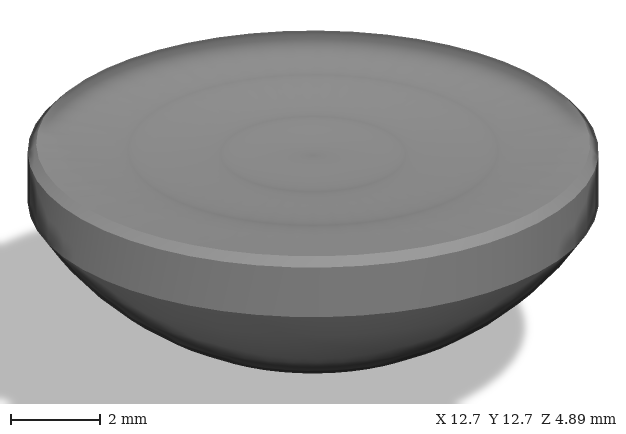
import cadquery as cq
import math

diameter = 12.7
total_height = 4.89
rim_height = 1.4
chamfer = 0.19
top_sag = 0.29

radius = diameter / 2
top_radius = radius - chamfer
dome_depth = total_height - rim_height


def sphere_radius(half_chord, sag):
    """Radius of the sphere whose cap has this half chord and depth."""
    return (half_chord**2 + sag**2) / (2 * sag)


def cap_depth_at(distance, half_chord, sag):
    """Depth of a spherical cap below its rim at a distance from the axis."""
    sphere = sphere_radius(half_chord, sag)
    return math.sqrt(sphere**2 - distance**2) - (sphere - sag)


dome_mid = (radius / 2, dome_depth - cap_depth_at(radius / 2, radius, dome_depth))
top_mid = (top_radius / 2, total_height - cap_depth_at(top_radius / 2, top_radius, top_sag))

profile = (
    cq.Workplane("YZ")
    .moveTo(0, 0)
    .threePointArc(dome_mid, (radius, dome_depth))
    .lineTo(radius, total_height - chamfer)
    .lineTo(top_radius, total_height)
    .threePointArc(top_mid, (0, total_height - top_sag))
    .close()
)

result = profile.revolve(360, (0, 0, 0), (0, 1, 0))